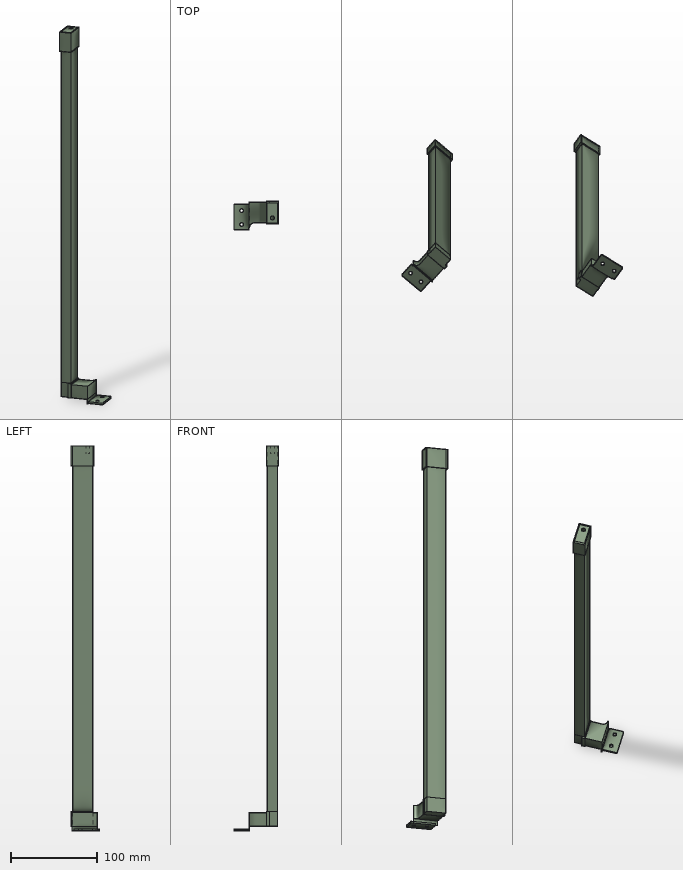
import cadquery as cq

TOTAL_HEIGHT = 447.0
BAR_CENTRE_X = 44.5
BAR_CENTRE_Y = 19.5
BAR_WIDTH = 12.0
BAR_DEPTH = 23.2

SLEEVE_CENTRE_Y = 20.0
SLEEVE_WIDTH = 14.5
SLEEVE_DEPTH = 27.0
SLEEVE_HEIGHT = 23.2

TOP_HOLE_DIAMETER = 4.5
TOP_HOLE_DEPTH = 9.0
TOP_HOLE_Y = 14.0

FOOT_BOTTOM = 5.5
FOOT_TOP = 23.0
FLANGE_THICKNESS = 4.0
FLANGE_FRONT_Y = 7.5

BLOCK_TOP = 21.5
BLOCK_FRONT_Y = 8.0
BRACKET_BACK_Y = 32.0
WALL_X = 17.5
WALL_THICKNESS = 1.0
FLARE_RADIUS = 5.5
PLATE_DEPTH = 30.0
PLATE_THICKNESS = 2.2
PLATE_CORNER_RADIUS = 1.5
PLATE_HOLE_DIAMETER = 4.0
PLATE_HOLE_X = 9.0
PLATE_HOLE_SPACING = 16.0
PLATE_HOLE_CENTRE_Y = 14.5

FLANGE_X = BAR_CENTRE_X - SLEEVE_WIDTH / 2
FLANGE_END_X = FLANGE_X + FLANGE_THICKNESS
BAR_END_X = BAR_CENTRE_X + BAR_WIDTH / 2
WALL_END_X = WALL_X + WALL_THICKNESS
WALL_FRONT_Y = BLOCK_FRONT_Y - FLARE_RADIUS


def box_between(x_range, y_range, z_range):
    """Box spanning the given (low, high) pairs."""
    lows, highs = zip(x_range, y_range, z_range)
    lengths = [high - low for low, high in zip(lows, highs)]
    return cq.Workplane("XY").box(*lengths, centered=False).translate(lows)


def centred_range(centre, length):
    """Low and high ends of a length placed about its centre."""
    return centre - length / 2, centre + length / 2


def make_bar():
    """Upright bar standing on the foot, with a blind hole in its top end."""
    bar = box_between(
        centred_range(BAR_CENTRE_X, BAR_WIDTH),
        centred_range(BAR_CENTRE_Y, BAR_DEPTH),
        (FOOT_TOP, TOTAL_HEIGHT),
    )
    hole = (
        cq.Workplane("XY", origin=(BAR_CENTRE_X, TOP_HOLE_Y, TOTAL_HEIGHT))
        .circle(TOP_HOLE_DIAMETER / 2)
        .extrude(-TOP_HOLE_DEPTH)
    )
    return bar.cut(hole)


def make_sleeve():
    """Rectangular sleeve flush with the top of the bar."""
    return (
        cq.Workplane("XY", origin=(BAR_CENTRE_X, SLEEVE_CENTRE_Y, TOTAL_HEIGHT))
        .rect(SLEEVE_WIDTH, SLEEVE_DEPTH)
        .center(0, BAR_CENTRE_Y - SLEEVE_CENTRE_Y)
        .rect(BAR_WIDTH, BAR_DEPTH)
        .extrude(-SLEEVE_HEIGHT)
    )


def make_foot():
    """Foot block of the bar's section, with a flange on its -X side that is deeper in Y."""
    z_range = (FOOT_BOTTOM, FOOT_TOP)
    flange_back_y = SLEEVE_CENTRE_Y + SLEEVE_DEPTH / 2
    flange = box_between(
        (FLANGE_X, FLANGE_END_X), (FLANGE_FRONT_Y, flange_back_y), z_range
    )
    core = box_between(
        (FLANGE_END_X, BAR_END_X), centred_range(BAR_CENTRE_Y, BAR_DEPTH), z_range
    )
    return flange.union(core)


def make_mounting_plate():
    """Thin plate with two screw holes and rounded outer corners."""
    plate = box_between((0, WALL_X), (0, PLATE_DEPTH), (0, PLATE_THICKNESS))
    return (
        plate.edges("|Z and <X")
        .fillet(PLATE_CORNER_RADIUS)
        .faces(">Z")
        .workplane(origin=(PLATE_HOLE_X, PLATE_HOLE_CENTRE_Y, PLATE_THICKNESS))
        .rarray(4.5, PLATE_HOLE_SPACING, 1, 2)
        .hole(PLATE_HOLE_DIAMETER)
    )


def make_bracket():
    """Block flared by a concave arc into a wall that drops to the mounting plate."""
    wall = box_between(
        (WALL_X, WALL_END_X), (WALL_FRONT_Y, BRACKET_BACK_Y), (0, BLOCK_TOP)
    )
    block = (
        cq.Workplane("XY", origin=(0, 0, FOOT_BOTTOM))
        .moveTo(WALL_END_X, BRACKET_BACK_Y)
        .lineTo(WALL_END_X, WALL_FRONT_Y)
        .radiusArc((WALL_END_X + FLARE_RADIUS, BLOCK_FRONT_Y), FLARE_RADIUS)
        .lineTo(FLANGE_X, BLOCK_FRONT_Y)
        .lineTo(FLANGE_X, BRACKET_BACK_Y)
        .close()
        .extrude(BLOCK_TOP - FOOT_BOTTOM)
    )
    return wall.union(block).union(make_mounting_plate())


bar = make_bar()
sleeve = make_sleeve()
foot = make_foot()
bracket = make_bracket()

result = cq.Compound.makeCompound([bar.val(), sleeve.val(), foot.val(), bracket.val()])